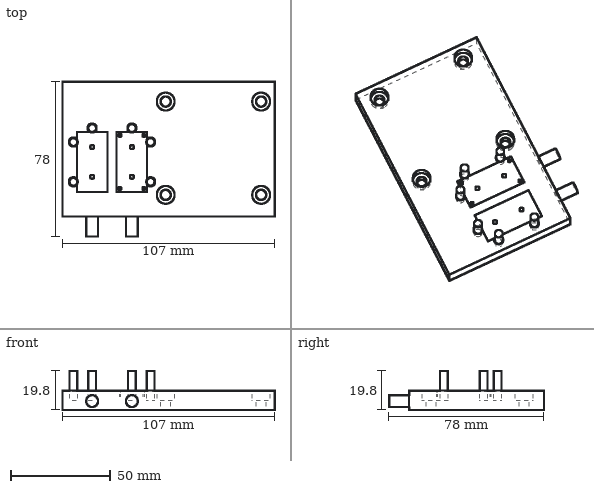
import cadquery as cq

plate_length = 107.0
plate_width = 67.9
plate_thickness = 9.8

mount_left_x = 52.0
mount_front_y = 10.9
mount_pitch_x = 48.0
mount_pitch_y = 47.0
mount_hole_diameter = 5.0
counterbore_diameter = 9.0
counterbore_depth = 5.0

pocket_left_x = 15.0
pocket_pitch_x = 20.0
pocket_y = 27.5
pocket_length_x = 15.3
pocket_length_y = 30.2
pocket_depth = 0.1
pocket_floor_z = plate_thickness - pocket_depth
pocket_right_x = pocket_left_x + pocket_pitch_x
pocket_centers_x = (pocket_left_x, pocket_right_x)

vent_diameter = 2.0
vent_pitch_y = 15.0
vent_depth = 0.3

corner_hole_diameter = 0.5
corner_hole_rim_diameter = 1.5
corner_hole_pitch_x = 12.0
corner_hole_pitch_y = 26.8
corner_hole_depth = 3.0

pin_diameter = 4.0
pin_height = 10.0
pin_seat_depth = 5.0
pin_seat_chamfer = 0.3
pin_seat_rim_diameter = pin_diameter + 2 * pin_seat_chamfer
pin_offset_x = 9.4
pin_offset_y = 17.0
side_pin_pitch_y = 20.0

connector_diameter = 6.0
connector_length = 10.1
connector_z = 4.6

side_pin_ys = (pocket_y - side_pin_pitch_y / 2, pocket_y + side_pin_pitch_y / 2)
pin_points = [(x, pocket_y + pin_offset_y) for x in pocket_centers_x]
pin_points += [(pocket_left_x - pin_offset_x, y) for y in side_pin_ys]
pin_points += [(pocket_right_x + pin_offset_x, y) for y in side_pin_ys]


def drill(diameter, depth, x, y):
    """Round cutter going down from the top of the plate."""
    return cq.Workplane("XY", origin=(x, y, plate_thickness)).circle(diameter / 2).extrude(-depth)


def rim_cone(hole_diameter, rim_diameter, top_z, x, y):
    """45 degree cutter that chamfers the rim of a hole whose mouth is at top_z."""
    depth = (rim_diameter - hole_diameter) / 2
    cone = cq.Solid.makeCone(hole_diameter / 2, rim_diameter / 2, depth, cq.Vector(x, y, top_z - depth))
    return cq.Workplane(obj=cone)


def make_plate():
    plate = cq.Workplane("XY").box(plate_length, plate_width, plate_thickness, centered=False)

    for x in (mount_left_x, mount_left_x + mount_pitch_x):
        for y in (mount_front_y, mount_front_y + mount_pitch_y):
            plate = plate.cut(drill(mount_hole_diameter, plate_thickness, x, y))
            plate = plate.cut(drill(counterbore_diameter, counterbore_depth, x, y))

    for x in pocket_centers_x:
        pocket = (
            cq.Workplane("XY", origin=(x, pocket_y, plate_thickness))
            .rect(pocket_length_x, pocket_length_y)
            .extrude(-pocket_depth)
        )
        plate = plate.cut(pocket)
        for side in (-1, 1):
            plate = plate.cut(drill(vent_diameter, vent_depth, x, pocket_y + side * vent_pitch_y / 2))

    for side_x in (-1, 1):
        for side_y in (-1, 1):
            x = pocket_right_x + side_x * corner_hole_pitch_x / 2
            y = pocket_y + side_y * corner_hole_pitch_y / 2
            plate = plate.cut(drill(corner_hole_diameter, corner_hole_depth, x, y))
            plate = plate.cut(rim_cone(corner_hole_diameter, corner_hole_rim_diameter, pocket_floor_z, x, y))

    for x, y in pin_points:
        plate = plate.cut(drill(pin_diameter, pin_seat_depth, x, y))
        plate = plate.cut(rim_cone(pin_diameter, pin_seat_rim_diameter, plate_thickness, x, y))
    return plate


def make_pin(x, y):
    bottom_z = plate_thickness - pin_seat_depth
    return (
        cq.Workplane("XY", origin=(x, y, bottom_z))
        .circle(pin_diameter / 2)
        .extrude(pin_seat_depth + pin_height)
    )


def make_connector(x):
    """Round stub standing out from the front face."""
    return (
        cq.Workplane("XZ", origin=(x, 0, connector_z))
        .circle(connector_diameter / 2)
        .extrude(connector_length)
    )


plate = make_plate()
pins = [make_pin(x, y).val() for x, y in pin_points]
connectors = [make_connector(x).val() for x in pocket_centers_x]

result = cq.Compound.makeCompound([plate.val(), *pins, *connectors])